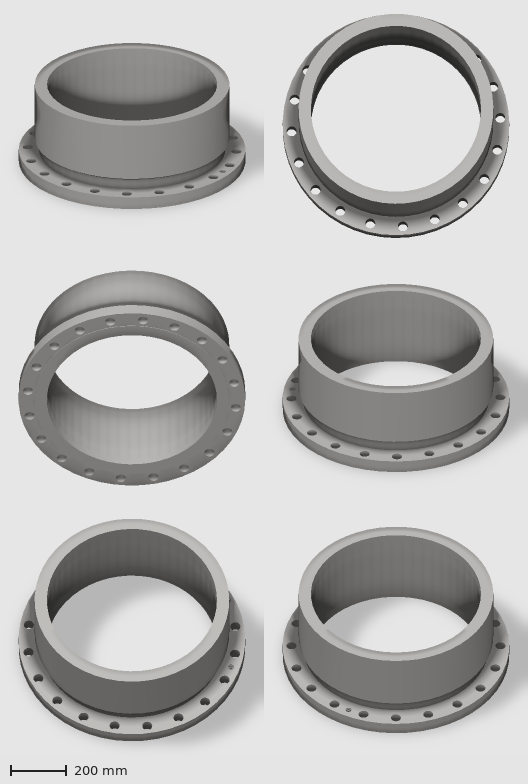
import cadquery as cq
import math

flange_diameter = 812.5
total_height = 305.0

flange_top = 48.0
raised_face_height = 2.0
raised_face_diameter = 697.0

body_diameter = 698.0
bore_diameter = 609.5
neck_diameter = 669.0
neck_top = 85.0
taper_height = 9.0

bolt_count = 20
bolt_circle_diameter = 749.0
bolt_hole_diameter = 36.0

step_diameters = (23.0, 18.0, 6.5)
step_depth = 4.0


def revolved_ring():
    """Flange, neck, taper and pipe body turned about the Z axis."""
    bore_radius = bore_diameter / 2
    flange_radius = flange_diameter / 2
    raised_face_radius = raised_face_diameter / 2
    neck_radius = neck_diameter / 2
    body_radius = body_diameter / 2
    profile = [
        (bore_radius, 0),
        (raised_face_radius, 0),
        (raised_face_radius, raised_face_height),
        (flange_radius, raised_face_height),
        (flange_radius, flange_top),
        (neck_radius, flange_top),
        (neck_radius, neck_top),
        (body_radius, neck_top + taper_height),
        (body_radius, total_height),
        (bore_radius, total_height),
    ]
    return cq.Workplane("XZ").polyline(profile).close().revolve(360, (0, 0, 0), (0, 1, 0))


def bolt_holes():
    """Through holes spaced evenly on the bolt circle, the first on +X."""
    return (
        cq.Workplane("XY")
        .polarArray(bolt_circle_diameter / 2, 0, 360, bolt_count)
        .circle(bolt_hole_diameter / 2)
        .extrude(flange_top)
    )


def hole_step(step, diameter):
    """One cylinder of the stepped hole, reaching the given number of steps below the flange top."""
    half_pitch = math.radians(180 / bolt_count)
    bolt_circle_radius = bolt_circle_diameter / 2
    x = bolt_circle_radius * math.cos(half_pitch)
    y = bolt_circle_radius * math.sin(half_pitch)
    return cq.Workplane("XY", origin=(x, y, flange_top)).circle(diameter / 2).extrude(-step * step_depth)


result = revolved_ring().cut(bolt_holes())
for step_number, step_diameter in enumerate(step_diameters, start=1):
    result = result.cut(hole_step(step_number, step_diameter))